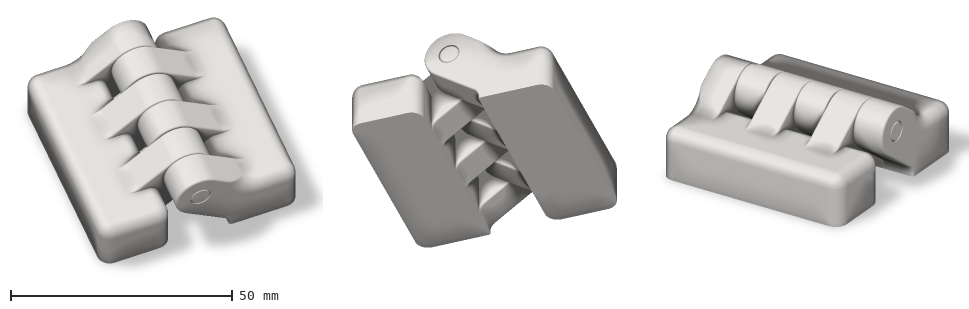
import cadquery as cq
import math


total_width = 48.2
total_depth = 48.0
total_height = 20.5

leaf_width = 48.0
leaf_depth = 17.0
leaf_height = 12.5
leaf_round = 3.0

strap_count = 3
strap_pitch = leaf_width / strap_count
side_clearance = total_width - leaf_width
strap_width = (strap_pitch - side_clearance) / 2
pin_height = 14.5
knuckle_radius = total_height - pin_height
strap_angle = math.radians(36)
top_blend_radius = 5.0
under_blend_radius = leaf_round
strap_edge_round = 0.5

pin_diameter = 5.0
pin_face_diameter = 4.15
pin_chamfer = (pin_diameter - pin_face_diameter) / 2

leaf_start = total_width / 2 - leaf_width
outer_y = -total_depth / 2
inner_y = outer_y + leaf_depth

slope_cos = math.cos(strap_angle)
slope_tan = math.tan(strap_angle)

blend_axis_z = leaf_height + top_blend_radius
blend_axis_y = -((knuckle_radius + top_blend_radius) / slope_cos + pin_height - blend_axis_z) / slope_tan

under_axis_y = inner_y + under_blend_radius
under_axis_z = pin_height + under_axis_y * slope_tan - (knuckle_radius + under_blend_radius) / slope_cos


def polar(center_y, center_z, radius, angle):
    """Point on a circle in the YZ plane, with the angle measured from +Y towards +Z."""
    return (center_y + radius * math.cos(angle), center_z + radius * math.sin(angle))


def leaf_plate():
    """Rectangular plate with rounded upright corners and a rounded top rim."""
    plate = cq.Workplane("XY").box(leaf_width, leaf_depth, leaf_height, centered=False)
    plate = plate.edges("|Z").fillet(leaf_round)
    plate = plate.faces(">Z").edges().fillet(leaf_round)
    return plate.translate((leaf_start, outer_y, 0))


def strap(start_x):
    """Sloping strap ending in a knuckle around the pin, with square side edges."""
    quarter = math.pi / 2
    normal = quarter + strap_angle
    profile = (
        cq.Workplane("YZ", origin=(start_x, 0, 0))
        .moveTo(blend_axis_y, 0)
        .lineTo(inner_y, 0)
        .lineTo(inner_y, under_axis_z)
        .threePointArc(
            polar(under_axis_y, under_axis_z, under_blend_radius, (math.pi + normal) / 2),
            polar(under_axis_y, under_axis_z, under_blend_radius, normal),
        )
        .lineTo(*polar(0, pin_height, knuckle_radius, normal - math.pi))
        .threePointArc(
            polar(0, pin_height, knuckle_radius, strap_angle),
            polar(0, pin_height, knuckle_radius, normal),
        )
        .lineTo(*polar(blend_axis_y, blend_axis_z, top_blend_radius, normal - math.pi))
        .threePointArc(
            polar(blend_axis_y, blend_axis_z, top_blend_radius, strap_angle / 2 - quarter),
            (blend_axis_y, leaf_height),
        )
        .close()
    )
    return profile.extrude(strap_width)


def round_side_edges(body):
    """Round the side edges of a strap; each round follows its tangent outline from a sloping edge."""
    return body.edges("%LINE").edges("not(|X or |Y or |Z)").fillet(strap_edge_round)


def rim_blend_cut():
    """Corner waste that carries the round of the leaf rim up along the upper blend."""
    outer_radius = top_blend_radius + leaf_round
    far_x = leaf_start + leaf_round
    middle_inset = leaf_round * (1 - math.sqrt(0.5))
    section = (
        cq.Workplane("XZ", origin=(0, blend_axis_y, blend_axis_z))
        .moveTo(leaf_start, 0)
        .lineTo(far_x, 0)
        .lineTo(far_x, -top_blend_radius)
        .threePointArc(
            (leaf_start + middle_inset, -top_blend_radius - middle_inset),
            (leaf_start, -outer_radius),
        )
        .close()
    )
    return section.revolve(90, (0, 0, 0), (1, 0, 0))


def hinge_leaf():
    """Plate with its straps; the first strap is flush with the side of the plate."""
    leaf = leaf_plate()
    for index in range(strap_count):
        body = strap(leaf_start + index * strap_pitch)
        if index == 0:
            body = body.cut(rim_blend_cut())
        leaf = leaf.union(round_side_edges(body))
    return leaf


def pin_cylinder():
    """Plain cylinder on the pin axis, flush with the outermost straps."""
    pin_length = -2 * leaf_start
    return (
        cq.Workplane("YZ", origin=(leaf_start, 0, pin_height))
        .circle(pin_diameter / 2)
        .extrude(pin_length)
    )


front_leaf = hinge_leaf()
rear_leaf = front_leaf.rotate((0, 0, 0), (0, 0, 1), 180)
pin = pin_cylinder().faces("<X or >X").edges().chamfer(pin_chamfer)

result = front_leaf.union(rear_leaf).cut(pin_cylinder()).union(pin)